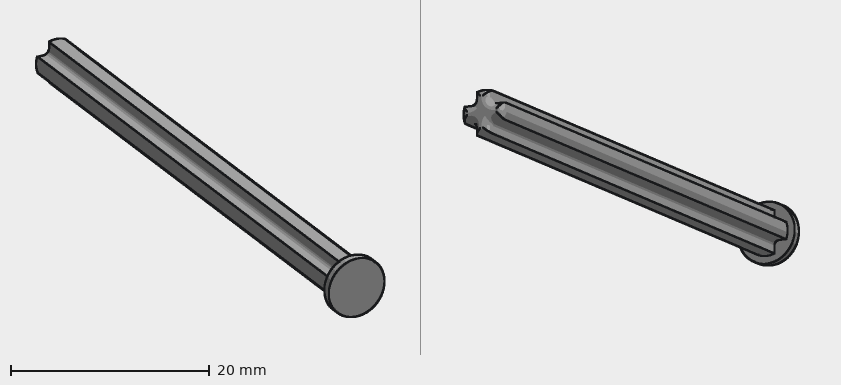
import cadquery as cq
import math

total_length = 64.0
flange_diameter = 6.4
flange_thickness = 0.95
axle_diameter = 4.8
arm_width = 1.8
groove_radius = 0.545
tip_clearance = 0.005

axle_length = total_length - flange_thickness
axle_radius = axle_diameter / 2
arm_half_width = arm_width / 2
tip_radius = arm_half_width - tip_clearance
arm_corner = math.sqrt(axle_radius**2 - arm_half_width**2)
groove_centre = arm_half_width + groove_radius
groove_middle = groove_centre - groove_radius / math.sqrt(2)


def quarter_turns(point, turns):
    """Rotate a profile point about the axis by a number of quarter turns."""
    y, z = point
    for _ in range(turns):
        y, z = -z, y
    return y, z


def make_axle():
    """Cross-shaped axle with round arm ends, filleted grooves and a rounded tip."""
    profile = cq.Workplane("YZ").moveTo(arm_corner, -arm_half_width)
    for turns in range(4):
        arm_end_middle = quarter_turns((axle_radius, 0), turns)
        arm_end = quarter_turns((arm_corner, arm_half_width), turns)
        groove_start = quarter_turns((groove_centre, arm_half_width), turns)
        groove_mid = quarter_turns((groove_middle, groove_middle), turns)
        groove_end = quarter_turns((arm_half_width, groove_centre), turns)
        next_arm = quarter_turns((arm_half_width, arm_corner), turns)
        profile = profile.threePointArc(arm_end_middle, arm_end).lineTo(*groove_start)
        profile = profile.threePointArc(groove_mid, groove_end).lineTo(*next_arm)
    return profile.close().extrude(axle_length).faces("<X").edges().fillet(tip_radius)


def make_flange():
    """Round stop flange that closes the +X end."""
    flange = cq.Workplane("YZ").workplane(offset=axle_length)
    return flange.circle(flange_diameter / 2).extrude(flange_thickness)


result = make_axle().union(make_flange())